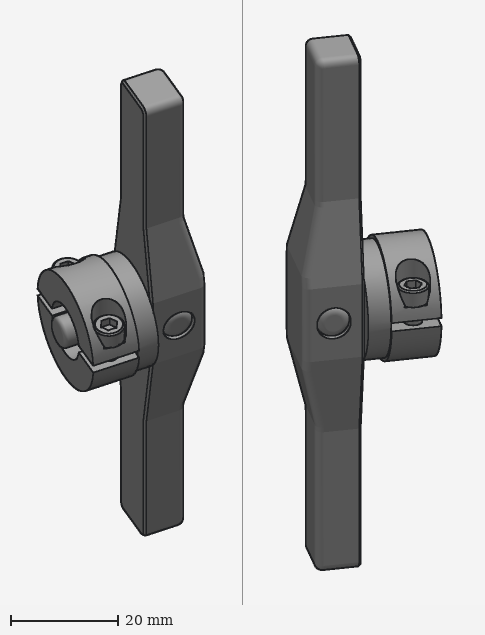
import cadquery as cq


HANDLE_LENGTH = 108.0
GRIP_WIDTH = 10.4
GRIP_THICKNESS = 8.6
CENTRE_WIDTH = 16.0
CENTRE_THICKNESS = 11.7
SIDE_TAPER_START = 7.7
SIDE_TAPER_END = 24.3
BACK_TAPER_START = 9.7
BACK_TAPER_END = 23.1
HANDLE_ROUNDING = 1.5
FRONT_CHAMFER = 0.4

EDGE_MARGIN = 0.1

ROD_RADIUS = 3.2
ROD_END_ROUNDING = 1.5

SHAFT_RADIUS = 3.1
SHAFT_LENGTH = 15.4
SHAFT_TIP_ROUNDING = 0.8

FLANGE_RADIUS = 11.2
FLANGE_LENGTH = 4.3
COLLAR_RADIUS = 11.9
COLLAR_LENGTH = 9.5
HUB_BORE_RADIUS = 5.7
SLOT_WIDTH = 1.7
HUB_LENGTH = FLANGE_LENGTH + COLLAR_LENGTH

SCREW_OFFSET = 8.7
SCREW_Y = -(FLANGE_LENGTH + COLLAR_LENGTH / 2)
SHANK_RADIUS = 1.7
HEAD_RADIUS = 2.9
HEAD_SEAT = 3.6
HEAD_TOP = 6.9
HEAD_CHAMFER = 0.3
COUNTERBORE_RADIUS = 3.2
SOCKET_ACROSS_FLATS = 2.9
SOCKET_DEPTH = 1.6


def tapered_outline(plane, centre_half, grip_half, taper_start, taper_end):
    """Closed outline, wide in the middle and narrower at both ends, symmetric about both axes."""
    end = HANDLE_LENGTH / 2
    upper_right = [(grip_half, end), (grip_half, taper_end), (centre_half, taper_start)]
    right = upper_right + [(u, -v) for u, v in reversed(upper_right)]
    left = [(-u, -v) for u, v in right]
    return cq.Workplane(plane).polyline(right + left).close()


def handle_bar():
    """Bar with a flat front face, tapering from the middle to both grips."""
    widths = tapered_outline(
        "XZ", CENTRE_WIDTH / 2, GRIP_WIDTH / 2, SIDE_TAPER_START, SIDE_TAPER_END
    ).extrude(-CENTRE_THICKNESS)
    thicknesses = tapered_outline(
        "YZ", CENTRE_THICKNESS, GRIP_THICKNESS, BACK_TAPER_START, BACK_TAPER_END
    ).extrude(CENTRE_WIDTH / 2, both=True)
    bar = widths.intersect(thicknesses)

    back_sides = bar.edges(
        cq.selectors.BoxSelector(
            (-CENTRE_WIDTH, GRIP_THICKNESS - EDGE_MARGIN, -HANDLE_LENGTH),
            (CENTRE_WIDTH, CENTRE_THICKNESS + EDGE_MARGIN, HANDLE_LENGTH),
        )
        - cq.selectors.ParallelDirSelector(cq.Vector(1, 0, 0))
    )
    ends = bar.faces("<Z or >Z").edges("not <Y")
    bar = bar.newObject(back_sides.vals() + ends.vals()).fillet(HANDLE_ROUNDING)
    return bar.faces("<Y").chamfer(FRONT_CHAMFER)


def cross_rod():
    """Rod across the handle, with rounded ends."""
    rod = (
        cq.Workplane("YZ", origin=(0, CENTRE_THICKNESS / 2, 0))
        .circle(ROD_RADIUS)
        .extrude(CENTRE_WIDTH / 2, both=True)
    )
    return rod.faces("<X or >X").edges().fillet(ROD_END_ROUNDING)


def shaft():
    """Round shaft standing on the front face of the handle."""
    plain = cq.Workplane("XZ").circle(SHAFT_RADIUS).extrude(SHAFT_LENGTH)
    return plain.faces("<Y").edges().fillet(SHAFT_TIP_ROUNDING)


def make_handle():
    """Handle bar in one piece with its cross rod and shaft."""
    rod_hole = (
        cq.Workplane("YZ", origin=(0, CENTRE_THICKNESS / 2, 0))
        .circle(ROD_RADIUS)
        .extrude(CENTRE_WIDTH, both=True)
    )
    return handle_bar().cut(rod_hole).union(cross_rod()).union(shaft())


def screw_circle(side, height, radius):
    """Circle about a screw axis, on the left (-1) or right (+1) of the bore."""
    return cq.Workplane("XY", origin=(side * SCREW_OFFSET, SCREW_Y, height)).circle(radius)


def clamp_screw(side):
    """Socket-head screw, seated on its counterbore floor and reaching across the slot."""
    head = screw_circle(side, HEAD_SEAT, HEAD_RADIUS).extrude(HEAD_TOP - HEAD_SEAT)
    head = head.faces(">Z").edges().chamfer(HEAD_CHAMFER)
    socket = (
        cq.Workplane("XY", origin=(side * SCREW_OFFSET, SCREW_Y, HEAD_TOP))
        .polygon(6, SOCKET_ACROSS_FLATS, circumscribed=True)
        .extrude(-SOCKET_DEPTH)
    )
    shank = screw_circle(side, -SLOT_WIDTH / 2, SHANK_RADIUS).extrude(SLOT_WIDTH / 2 + HEAD_SEAT)
    return head.cut(socket).union(shank)


def make_hub():
    """Flange and slotted collar, in one piece with the two clamp screws that hold the collar."""
    hub = cq.Workplane("XZ").circle(FLANGE_RADIUS).extrude(FLANGE_LENGTH)
    hub = hub.faces("<Y").workplane().circle(COLLAR_RADIUS).extrude(COLLAR_LENGTH)
    slot = cq.Workplane("XY", origin=(0, SCREW_Y, 0)).box(2 * COLLAR_RADIUS, COLLAR_LENGTH, SLOT_WIDTH)
    bore = cq.Workplane("XZ").circle(HUB_BORE_RADIUS).extrude(HUB_LENGTH)
    hub = hub.cut(slot).cut(bore)
    for side in (-1, 1):
        counterbore = screw_circle(side, HEAD_SEAT, COUNTERBORE_RADIUS).extrude(COLLAR_RADIUS)
        hub = hub.cut(counterbore).union(clamp_screw(side))
    return hub


handle = make_handle()
hub = make_hub()
result = cq.Compound.makeCompound([handle.val(), hub.val()])